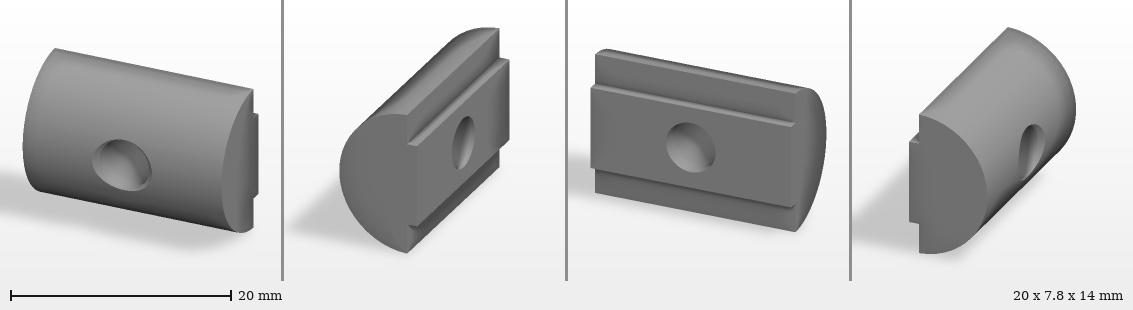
import cadquery as cq

length = 20.0
body_radius = 7.0
body_depth = 6.8
tongue_height = 8.1
tongue_depth = 1.0
hole_diameter = 4.95
countersink_diameter = 6.0

crown_y = -body_radius
back_y = crown_y + body_depth
tongue_y = back_y + tongue_depth
hole_radius = hole_diameter / 2
countersink_radius = countersink_diameter / 2
countersink_depth = countersink_radius - hole_radius


def make_body():
    """Round bar cut along a flat back just short of its axis."""
    bar = cq.Workplane("YZ").circle(body_radius).extrude(length / 2, both=True)
    front_half = cq.Workplane("XY").box(
        length, body_depth, 2 * body_radius
    ).translate((0, crown_y + body_depth / 2, 0))
    return bar.intersect(front_half)


def make_tongue():
    """Full-length rectangular tongue on the flat back, rooted in the body."""
    root_y = crown_y / 2
    return cq.Workplane("XY").box(
        length, tongue_y - root_y, tongue_height
    ).translate((0, (tongue_y + root_y) / 2, 0))


def make_hole():
    """Through hole along Y with a conical countersink at the crown."""
    bore = cq.Solid.makeCylinder(
        hole_radius, tongue_y - crown_y, cq.Vector(0, crown_y, 0), cq.Vector(0, 1, 0)
    )
    countersink = cq.Solid.makeCone(
        countersink_radius, hole_radius, countersink_depth,
        cq.Vector(0, crown_y, 0), cq.Vector(0, 1, 0),
    )
    return cq.Workplane(bore).union(cq.Workplane(countersink))


result = make_body().union(make_tongue()).cut(make_hole())